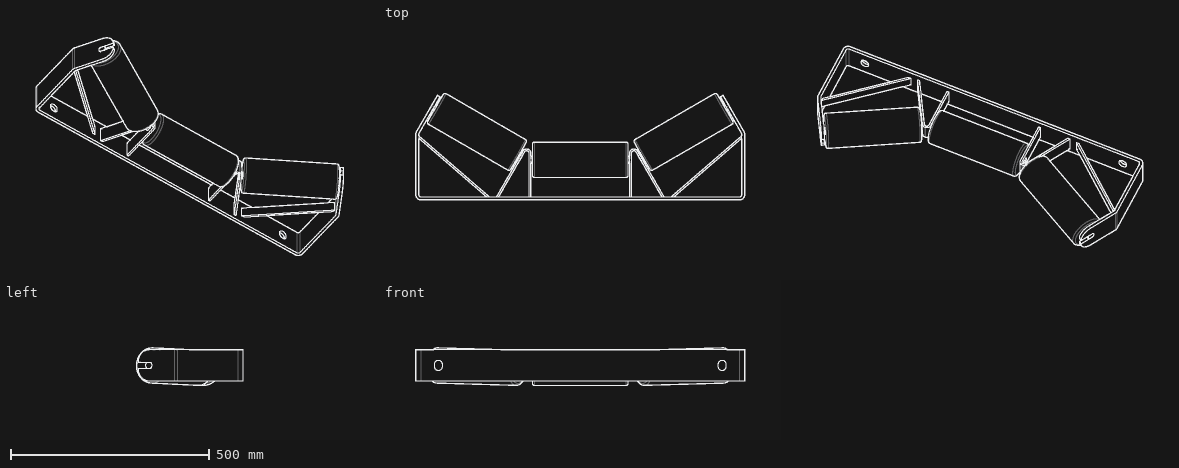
import cadquery as cq
import math


FRAME_LENGTH = 830.0
FRAME_HEIGHT = 80.0
FRAME_THICKNESS = 8.0
FRAME_BEND_RADIUS = 13.0
WING_ANGLE = 30.0
WING_BEND_Y = 169.0
WING_LENGTH = 109.5
WING_TIP_RADIUS = 30.0
MOUNT_HOLE_X = 358.0
MOUNT_HOLE_WIDTH = 20.0
MOUNT_HOLE_LENGTH = 26.0

ROLLER_DIAMETER = 90.0
ROLLER_LENGTH = 241.5
ROLLER_EDGE_RADIUS = 5.0
ROLLER_END_GAP = 3.7
SHAFT_DIAMETER = 18.0
SHAFT_FLAT_HEIGHT = 15.0
CENTRE_ROLLER_Y = 101.0
SIDE_ROLLER_X = 261.0
SIDE_ROLLER_TILT = 1.4

BRACKET_BOTTOM_Z = 13.0
BRACKET_HEIGHT = 46.5
BRACKET_THICKNESS = 5.0
BRACKET_TOP_Y = 129.0
BRACKET_BEND_RADIUS = 10.0

BRACE_HEIGHT = 30.0
BRACE_THICKNESS = 5.0
BRACE_WALL_Y = 162.0
BRACE_FOOT_X = 229.0

SIDES = (1, -1)
HALF_LENGTH = FRAME_LENGTH / 2
WALL_INNER_X = HALF_LENGTH - FRAME_THICKNESS
MID_Z = FRAME_HEIGHT / 2
WING_SIN = math.sin(math.radians(WING_ANGLE))
WING_COS = math.cos(math.radians(WING_ANGLE))
WING_TIP_X = HALF_LENGTH - WING_LENGTH * WING_SIN
WING_TIP_Y = WING_BEND_Y + WING_LENGTH * WING_COS
HALF_ROLLER = ROLLER_LENGTH / 2
SUPPORT_FACE = HALF_ROLLER + ROLLER_END_GAP
BRACKET_REACH = SUPPORT_FACE + BRACKET_THICKNESS
WING_REACH = SUPPORT_FACE + FRAME_THICKNESS
SIDE_ROLLER_Y = WING_BEND_Y + ((HALF_LENGTH - SIDE_ROLLER_X) * WING_COS - WING_REACH) / WING_SIN
TILT_RISE = SUPPORT_FACE * math.sin(math.radians(SIDE_ROLLER_TILT))
SIDE_ROLLER_Z = MID_Z - TILT_RISE
CENTRE_ROLLER_Z = SIDE_ROLLER_Z - TILT_RISE


def offset_path(path, distance):
    """Shift an open path to its left by a distance, with mitred corners."""
    headings = [math.atan2(b[1] - a[1], b[0] - a[0]) for a, b in zip(path, path[1:])]
    shifted = []
    for (x, y), before, after in zip(path, headings[:1] + headings, headings + headings[-1:]):
        half_turn = math.remainder(after - before, 2 * math.pi) / 2
        direction = before + half_turn + math.pi / 2
        mitre = distance / math.cos(half_turn)
        shifted.append((x + mitre * math.cos(direction), y + mitre * math.sin(direction)))
    return shifted


def bent_strip(outer_path, thickness, height, bend_radius):
    """Upright strip whose outer face follows a path, material on the left, bends rounded."""
    inner_path = offset_path(outer_path, thickness)
    strip = cq.Workplane("XY").polyline(outer_path + inner_path[::-1]).close().extrude(height)
    for path, radius in ((outer_path, bend_radius), (inner_path, bend_radius - thickness)):
        for x, y in path[1:-1]:
            strip = strip.edges(cq.NearestToPointSelector((x, y, height / 2))).fillet(radius)
    return strip


def on_side(body, side):
    """Keep a +X body, or mirror it to the -X half."""
    return body if side > 0 else body.mirror("YZ")


def at_centre_roller(body):
    """Move a body from the roller axis system (axis along X) to the centre roller."""
    return body.translate((0, CENTRE_ROLLER_Y, CENTRE_ROLLER_Z))


def at_side_roller(body):
    """Move a body from the roller axis system (axis along X) to the +X side roller."""
    tilted = body.rotate((0, 0, 0), (0, 1, 0), -SIDE_ROLLER_TILT)
    turned = tilted.rotate((0, 0, 0), (0, 0, 1), WING_ANGLE)
    return turned.translate((SIDE_ROLLER_X, SIDE_ROLLER_Y, SIDE_ROLLER_Z))


def make_shaft(start, end):
    """Shaft along X with two flats, facing up and down."""
    length = end - start
    end_plane = cq.Workplane("YZ", origin=(start, 0, 0))
    shaft = end_plane.circle(SHAFT_DIAMETER / 2).extrude(length)
    flats = end_plane.rect(SHAFT_DIAMETER, SHAFT_FLAT_HEIGHT).extrude(length)
    return shaft.intersect(flats)


def make_roller(start, end):
    """Roller with rounded rims and a shaft that reaches from start to end."""
    end_plane = cq.Workplane("YZ", origin=(-HALF_ROLLER, 0, 0))
    drum = end_plane.circle(ROLLER_DIAMETER / 2).extrude(ROLLER_LENGTH)
    drum = drum.edges().fillet(ROLLER_EDGE_RADIUS)
    return drum.union(make_shaft(start, end))


def make_wing_slot():
    """Cutter for the +X wing: a shaft seat that is open towards the wing tip."""
    start = HALF_ROLLER
    end = WING_REACH + FRAME_THICKNESS
    opening = cq.Workplane("XY").box(
        end - start, WING_LENGTH, SHAFT_FLAT_HEIGHT, centered=(False, False, True)
    )
    return at_side_roller(make_shaft(start, end).union(opening.translate((start, 0, 0))))


def round_wing_tip(frame, side):
    """Round the upper and lower corners of one wing tip."""
    tip_x = WING_TIP_X - FRAME_THICKNESS / 2 * WING_COS
    tip_y = WING_TIP_Y - FRAME_THICKNESS / 2 * WING_SIN
    for z in (0, FRAME_HEIGHT):
        corner = cq.NearestToPointSelector((side * tip_x, tip_y, z))
        frame = frame.edges(corner).fillet(WING_TIP_RADIUS)
    return frame


def make_frame():
    left_half = [(-WING_TIP_X, WING_TIP_Y), (-HALF_LENGTH, WING_BEND_Y), (-HALF_LENGTH, 0)]
    right_half = [(-x, y) for x, y in reversed(left_half)]
    frame = bent_strip(left_half + right_half, FRAME_THICKNESS, FRAME_HEIGHT, FRAME_BEND_RADIUS)
    for side in SIDES:
        frame = round_wing_tip(frame, side)
        frame = frame.cut(on_side(make_wing_slot(), side))

    mount_holes = (
        cq.Workplane("XZ", origin=(0, 0, MID_Z))
        .pushPoints([(side * MOUNT_HOLE_X, 0) for side in SIDES])
        .slot2D(MOUNT_HOLE_LENGTH, MOUNT_HOLE_WIDTH, 90)
        .extrude(-FRAME_THICKNESS)
    )
    return frame.cut(mount_holes)


def trim_to_frame(body):
    """Cut a body off where it meets the inner faces of the base and side walls."""
    interior = cq.Workplane("XY").box(
        2 * WALL_INNER_X, FRAME_LENGTH, FRAME_HEIGHT, centered=(True, False, False)
    )
    return body.intersect(interior.translate((0, FRAME_THICKNESS, 0)))


def make_bracket(side):
    face_x = SIDE_ROLLER_X - SUPPORT_FACE * WING_COS
    face_y = SIDE_ROLLER_Y - SUPPORT_FACE * WING_SIN

    def leaning_arm(y):
        return (face_x + (face_y - y) * WING_SIN / WING_COS, y)

    outer_path = [
        leaning_arm(0),
        leaning_arm(BRACKET_TOP_Y),
        (SUPPORT_FACE, BRACKET_TOP_Y),
        (SUPPORT_FACE, 0),
    ]
    bracket = bent_strip(outer_path, BRACKET_THICKNESS, BRACKET_HEIGHT, BRACKET_BEND_RADIUS)
    bracket = trim_to_frame(bracket.translate((0, 0, BRACKET_BOTTOM_Z)))
    hole_end = BRACKET_REACH + BRACKET_THICKNESS
    bracket = bracket.cut(at_centre_roller(make_shaft(HALF_ROLLER, hole_end)))
    bracket = bracket.cut(at_side_roller(make_shaft(-hole_end, -HALF_ROLLER)))
    return on_side(bracket, side)


def make_brace(side):
    run = WALL_INNER_X - BRACE_FOOT_X
    rise = BRACE_WALL_Y - FRAME_THICKNESS
    start = (BRACE_FOOT_X - run / 2, FRAME_THICKNESS - rise / 2)
    end = (WALL_INNER_X + run / 2, BRACE_WALL_Y + rise / 2)
    bar = bent_strip([end, start], BRACE_THICKNESS, BRACE_HEIGHT, 0)
    bar = bar.translate((0, 0, MID_Z - BRACE_HEIGHT / 2))
    return on_side(trim_to_frame(bar), side)


def make_side_roller(side):
    return on_side(at_side_roller(make_roller(-BRACKET_REACH, WING_REACH)), side)


frame = make_frame()
centre_roller = at_centre_roller(make_roller(-BRACKET_REACH, BRACKET_REACH))
side_rollers = [make_side_roller(side) for side in SIDES]
brackets = [make_bracket(side) for side in SIDES]
braces = [make_brace(side) for side in SIDES]

bodies = [frame, centre_roller, *side_rollers, *brackets, *braces]
result = cq.Compound.makeCompound([body.solids().val() for body in bodies])